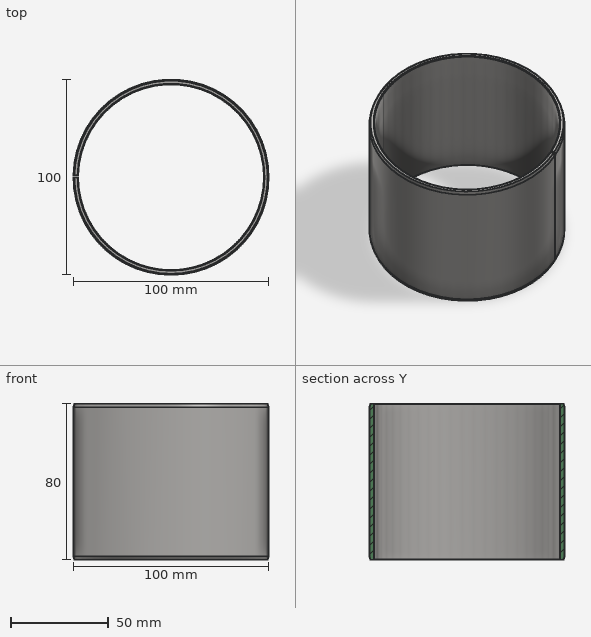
import cadquery as cq

outer_diameter = 100.0
wall = 2.5
height = 80.0
slit_width = 0.9

outer_bevel_height = 1.8
outer_bevel_depth = 0.6

inner_bevel = 0.4

outer_radius = outer_diameter / 2
inner_radius = outer_radius - wall
half_height = height / 2


def sleeve():
    """Revolve the bevelled wall section about Z, centred on the origin."""
    outer_bevel_z = half_height - outer_bevel_height
    inner_bevel_z = half_height - inner_bevel
    end_outer_radius = outer_radius - outer_bevel_depth
    end_inner_radius = inner_radius + inner_bevel
    section = (
        cq.Workplane("XZ")
        .moveTo(inner_radius, -inner_bevel_z)
        .lineTo(end_inner_radius, -half_height)
        .lineTo(end_outer_radius, -half_height)
        .lineTo(outer_radius, -outer_bevel_z)
        .lineTo(outer_radius, outer_bevel_z)
        .lineTo(end_outer_radius, half_height)
        .lineTo(end_inner_radius, half_height)
        .lineTo(inner_radius, inner_bevel_z)
        .close()
    )
    return section.revolve(360, (0, 0), (0, 1))


def slit():
    """Straight cutter through the wall on the -X side, with one face on the XZ plane."""
    cutter = cq.Workplane("XY").box(outer_radius, slit_width, height)
    return cutter.translate((-outer_radius, slit_width / 2, 0))


result = sleeve().cut(slit())